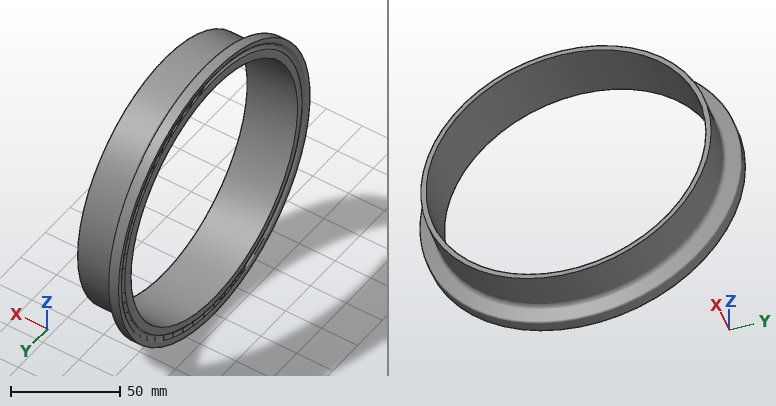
import cadquery as cq
import math

length = 28.0
flange_radius = 155 / 2
tube_radius = 139.7 / 2
bore_radius = 134.5 / 2

cone_angle = 20
rim_width = 5.6
rim_fillet = 1.1
root_fillet = 2.0

groove_radius = 73.0
groove_arc_radius = 1.5
lip_fillet = 0.8
groove_outer_radius = groove_radius + groove_arc_radius
groove_inner_radius = groove_radius - groove_arc_radius


def ring_edges(x, radius):
    """Select the circular edge of the given radius at station x."""
    margin = 0.08
    reach = radius + margin
    return cq.selectors.BoxSelector(
        (x - margin, -reach, -reach), (x + margin, reach, reach), boundingbox=True
    ) - cq.selectors.BoxSelector(
        (x - margin, -radius + margin, -radius + margin),
        (x + margin, radius - margin, radius - margin),
        boundingbox=True,
    )


def revolve_about_x(profile):
    return profile.revolve(360, (0, 0, 0), (1, 0, 0))


cone_length = (flange_radius - tube_radius) * math.tan(math.radians(cone_angle))
cone_end = rim_width + cone_length
body = revolve_about_x(
    cq.Workplane("XY")
    .moveTo(0, bore_radius)
    .lineTo(0, flange_radius)
    .lineTo(rim_width, flange_radius)
    .lineTo(cone_end, tube_radius)
    .lineTo(length, tube_radius)
    .lineTo(length, bore_radius)
    .close()
)
body = body.edges(ring_edges(rim_width, flange_radius)).fillet(rim_fillet)
body = body.edges(ring_edges(cone_end, tube_radius)).fillet(root_fillet)

groove = revolve_about_x(
    cq.Workplane("XY")
    .moveTo(0, groove_outer_radius)
    .threePointArc((groove_arc_radius, groove_radius), (0, groove_inner_radius))
    .close()
)
body = body.cut(groove)
for lip_radius in (groove_outer_radius, groove_inner_radius):
    body = body.edges(ring_edges(0, lip_radius)).fillet(lip_fillet)

result = body